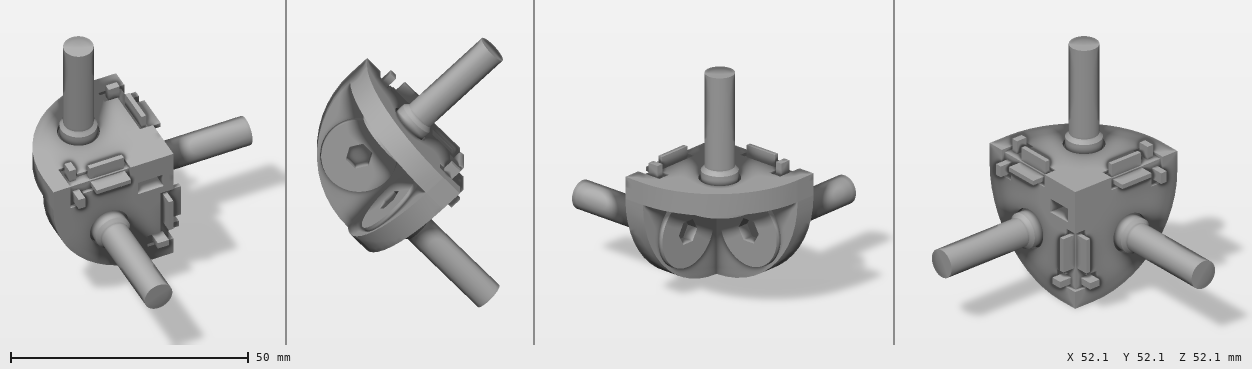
import cadquery as cq


PLATE_COUNT = 3
PLATE_SIDE = 28.0
PLATE_THICKNESS = 5.0
SHAFT_OFFSET = 15.0
HEAD_CLEARANCE = 0.2

OVERALL_SIZE = 52.05
SHAFT_DIAMETER = 6.45
COLLAR_DIAMETER = 8.0
COLLAR_HEIGHT = 1.85
COLLAR_CHAMFER_HEIGHT = 0.95
NECK_DIAMETER = 9.0
NECK_SETBACK = 0.5
NECK_CHAMFER_HEIGHT = 0.5
HEAD_DIAMETER = 16.0
HEAD_THICKNESS = 3.0
HEAD_PROTRUSION = 1.0
HEX_FLATS = 5.0
HEX_DEPTH = 2.7
SOCKET_TURNS = (0, 30, 0)

POCKET_DEPTH = 0.8
POCKET_WIDTH = 3.0
POCKET_LEG_WIDTH = 3.0
POCKET_LEG_REACH = 6.05
POCKET_NEAR_END = 5.0
POCKET_FAR_END = 9.0
TAB_HEIGHT = 2.3
SLAB_LENGTH = 7.95
SLAB_START = 1.15
SLAB_END = 2.2
BLOCK_START = SLAB_END
BLOCK_END = 4.75
BLOCK_NEAR_SIDE = 6.65
BLOCK_FAR_SIDE = 8.15

CORNER_CUT_X = 2.7
CORNER_CUT_Z = 3.25
CORNER_CUT_Y = 3.25
CORNER_CUT_BLIND_DEPTH = 2.7

SHAFT_LENGTH_OUT = OVERALL_SIZE - PLATE_SIDE
HEAD_RECESS_DIAMETER = HEAD_DIAMETER + 2 * HEAD_CLEARANCE
HEAD_RECESS_DEPTH = HEAD_THICKNESS - HEAD_PROTRUSION
HEAD_SEAT_Z = HEAD_RECESS_DEPTH - PLATE_THICKNESS
HEAD_BOTTOM_Z = HEAD_SEAT_Z - HEAD_THICKNESS


def box_between(x_limits, y_limits, z_limits):
    """Box between two limits on each axis."""
    (x0, x1), (y0, y1), (z0, z1) = x_limits, y_limits, z_limits
    return cq.Workplane("XY").box(x1 - x0, y1 - y0, z1 - z0, centered=False).translate((x0, y0, z0))


def turn_to_plane(body, turn):
    """A body made for the XY plane, turned onto the XY (0), YZ (1) or ZX (2) plane."""
    return body.rotate((0, 0, 0), (1, 1, 1), 360 / PLATE_COUNT * turn)


def place_on_planes(body):
    """Copies of a body on all three planes."""
    return [turn_to_plane(body, turn) for turn in range(PLATE_COUNT)]


def both_edges(body):
    """A feature made along the +Y edge, with its mirror image along the +X edge."""
    return body.union(body.mirror("YZ").rotate((0, 0, 0), (0, 0, 1), -90))


def plate_blank():
    """Plate with two straight outer edges and a rounded far corner."""
    arc_radius = PLATE_SIDE - PLATE_THICKNESS
    arc_middle = -PLATE_THICKNESS - arc_radius / 2 ** 0.5
    return (
        cq.Workplane("XY")
        .lineTo(-PLATE_SIDE, 0)
        .lineTo(-PLATE_SIDE, -PLATE_THICKNESS)
        .threePointArc((arc_middle, arc_middle), (-PLATE_THICKNESS, -PLATE_SIDE))
        .lineTo(0, -PLATE_SIDE)
        .close()
        .extrude(-PLATE_THICKNESS)
    )


def edge_pocket():
    """L-shaped pocket, open at the +Y edge of the plate."""
    depth = (-POCKET_DEPTH, 0)
    far_end = -SHAFT_OFFSET - POCKET_FAR_END
    strip = box_between((far_end, -SHAFT_OFFSET + POCKET_NEAR_END), (-POCKET_WIDTH, 0), depth)
    leg = box_between((far_end, far_end + POCKET_LEG_WIDTH), (-POCKET_LEG_REACH, 0), depth)
    return strip.union(leg)


def edge_tabs():
    """Long slab and small block that stand on the floor of the edge pocket."""
    height = (-POCKET_DEPTH, TAB_HEIGHT)
    slab_half = SLAB_LENGTH / 2
    slab = box_between(
        (-SHAFT_OFFSET - slab_half, -SHAFT_OFFSET + slab_half), (-SLAB_END, -SLAB_START), height
    )
    block = box_between(
        (-SHAFT_OFFSET - BLOCK_FAR_SIDE, -SHAFT_OFFSET - BLOCK_NEAR_SIDE), (-BLOCK_END, -BLOCK_START), height
    )
    return slab.union(block)


def shaft_opening():
    """Through hole for the neck, with a recess for the head on the inner face."""
    hole = cq.Workplane("XY").circle(NECK_DIAMETER / 2).extrude(-PLATE_THICKNESS)
    recess = (
        cq.Workplane("XY", origin=(0, 0, HEAD_SEAT_Z))
        .circle(HEAD_RECESS_DIAMETER / 2)
        .extrude(-HEAD_RECESS_DEPTH)
    )
    return hole.union(recess).translate((-SHAFT_OFFSET, -SHAFT_OFFSET, 0))


def corner_cut():
    """Box cut at the inner corner, just under the top plate."""
    inner = -PLATE_THICKNESS
    return box_between(
        (inner - CORNER_CUT_X, 0),
        (inner - CORNER_CUT_Y, inner + CORNER_CUT_BLIND_DEPTH),
        (inner - CORNER_CUT_Z, inner),
    )


def make_bracket():
    """Corner bracket of three joined plates."""
    first, second, third = place_on_planes(plate_blank())
    bracket = first.union(second).union(third)
    for pocket in place_on_planes(both_edges(edge_pocket())):
        bracket = bracket.cut(pocket)
    for opening in place_on_planes(shaft_opening()):
        bracket = bracket.cut(opening)
    for tabs in place_on_planes(both_edges(edge_tabs())):
        bracket = bracket.union(tabs)
    return bracket.cut(corner_cut())


def make_shaft(socket_turn):
    """Headed shaft that stands in the XY plate and points to +Z."""
    neck_top = -NECK_SETBACK
    collar_top = COLLAR_HEIGHT + COLLAR_CHAMFER_HEIGHT
    shaft = (
        cq.Workplane("XZ")
        .moveTo(0, HEAD_BOTTOM_Z)
        .lineTo(HEAD_DIAMETER / 2, HEAD_BOTTOM_Z)
        .lineTo(HEAD_DIAMETER / 2, HEAD_SEAT_Z)
        .lineTo(NECK_DIAMETER / 2, HEAD_SEAT_Z)
        .lineTo(NECK_DIAMETER / 2, neck_top - NECK_CHAMFER_HEIGHT)
        .lineTo(COLLAR_DIAMETER / 2, neck_top)
        .lineTo(COLLAR_DIAMETER / 2, COLLAR_HEIGHT)
        .lineTo(SHAFT_DIAMETER / 2, collar_top)
        .lineTo(SHAFT_DIAMETER / 2, SHAFT_LENGTH_OUT)
        .lineTo(0, SHAFT_LENGTH_OUT)
        .close()
        .revolve(360, (0, 0, 0), (0, 1, 0))
    )
    socket = (
        cq.Workplane("XY", origin=(0, 0, HEAD_BOTTOM_Z))
        .polygon(6, HEX_FLATS, circumscribed=True)
        .extrude(HEX_DEPTH)
        .rotate((0, 0, 0), (0, 0, 1), socket_turn)
    )
    return shaft.cut(socket).translate((-SHAFT_OFFSET, -SHAFT_OFFSET, 0))


bracket = make_bracket()
shafts = [turn_to_plane(make_shaft(socket_turn), turn) for turn, socket_turn in enumerate(SOCKET_TURNS)]

result = cq.Compound.makeCompound([bracket.val(), *[shaft.val() for shaft in shafts]])